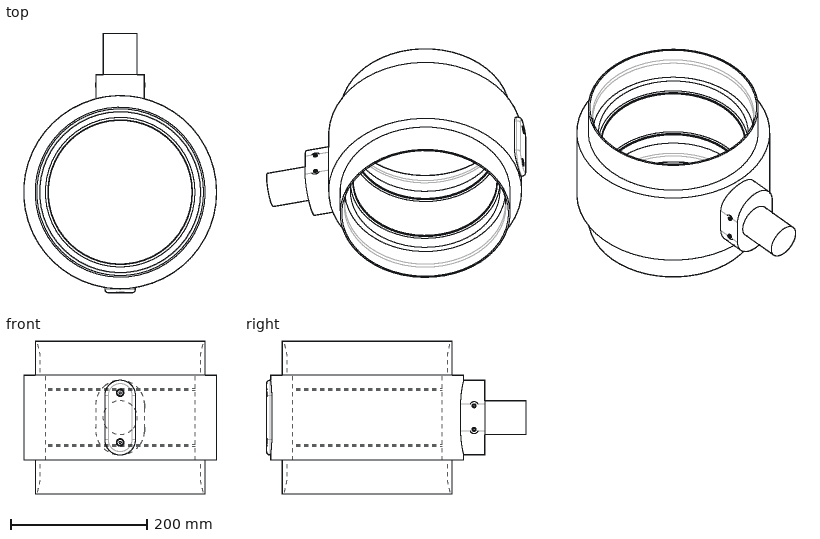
import cadquery as cq
import math

BODY_HEIGHT = 225.06
BAND_HEIGHT = 125.0
TUBE_RADIUS = 125.0
BAND_RADIUS = 142.0

MOUTH_RADIUS = 122.6
SOCKET_RADIUS = 118.2
TAPER_DEPTH = 18.7
BLEND_LENGTH = 3.0
SOCKET_DEPTH = 50.0
BORE_RADIUS = 110.0
LIP_RADIUS = 105.6
LIP_CHAMFER = 0.8
LIP_DEPTH = 70.0
LIP_THICKNESS = 2.7

NECK_WIDTH = 71.2
NECK_HEIGHT = 110.0
NECK_FLAT_HEIGHT = 40.0
NECK_END_Y = 173.0
STEM_RADIUS = 25.0
STEM_END_Y = 233.6

PAD_RADIUS = 6.2
PAD_DEPTH = 6.0
PAD_Y = 157.3
PAD_SPACING = 34.6
PAD_SCREW_RADIUS = 2.9
PAD_SCREW_HEIGHT = 1.0
PAD_SOCKET_RADIUS = 1.6
PAD_SOCKET_DEPTH = 0.8

PLATE_WIDTH = 45.0
PLATE_HEIGHT = 110.0
PLATE_FACE_Y = -148.0
PLATE_FILLET = 5.0
PLATE_SCREW_SPACING = 73.0
PLATE_SCREW_RADIUS = 4.5
PLATE_SCREW_HOLE_RADIUS = 5.5
PLATE_SCREW_GAP_DEPTH = 1.5
PLATE_SOCKET_RADIUS = 1.7
PLATE_SOCKET_DEPTH = 1.5

ROOT_DISTANCE = 130.0


def cylinder(radius, height):
    """Cylinder along Z, centred on the origin."""
    return cq.Workplane("XY").circle(radius).extrude(height / 2, both=True)


def y_workplane(y):
    """Workplane at a given Y, facing -Y, with local x = X and local y = Z."""
    return cq.Workplane("XZ", origin=(0, y, 0))


def make_body():
    return cylinder(TUBE_RADIUS, BODY_HEIGHT).union(cylinder(BAND_RADIUS, BAND_HEIGHT))


def make_bore():
    """Revolve one half of the bore, from the middle plane to the top, and mirror it."""
    top = BODY_HEIGHT / 2
    lip_top = top - LIP_DEPTH
    lip_bottom = lip_top - LIP_THICKNESS
    taper_angle = math.atan((MOUTH_RADIUS - SOCKET_RADIUS) / TAPER_DEPTH)
    taper_foot = top - TAPER_DEPTH
    blend_start = (
        SOCKET_RADIUS + BLEND_LENGTH * math.sin(taper_angle),
        taper_foot + BLEND_LENGTH * math.cos(taper_angle),
    )
    half = (
        cq.Workplane("XZ")
        .lineTo(0, top)
        .lineTo(MOUTH_RADIUS, top)
        .lineTo(*blend_start)
        .tangentArcPoint((SOCKET_RADIUS, taper_foot - BLEND_LENGTH), relative=False)
        .lineTo(SOCKET_RADIUS, top - SOCKET_DEPTH)
        .lineTo(BORE_RADIUS, top - SOCKET_DEPTH)
        .lineTo(BORE_RADIUS, lip_top)
        .lineTo(LIP_RADIUS + LIP_CHAMFER, lip_top)
        .lineTo(LIP_RADIUS, lip_top - LIP_CHAMFER)
        .lineTo(LIP_RADIUS, lip_bottom + LIP_CHAMFER)
        .lineTo(LIP_RADIUS + LIP_CHAMFER, lip_bottom)
        .lineTo(BORE_RADIUS, lip_bottom)
        .lineTo(BORE_RADIUS, 0)
        .close()
        .revolve(360, (0, 0, 0), (0, 1, 0))
    )
    return half.union(half.mirror("XY"))


def make_neck():
    """Housing bounded by two flat sides joined by shallow end arcs, plus the stem."""
    half_width = NECK_WIDTH / 2
    half_flat = NECK_FLAT_HEIGHT / 2
    half_height = NECK_HEIGHT / 2
    housing = (
        y_workplane(NECK_END_Y)
        .moveTo(-half_width, -half_flat)
        .lineTo(-half_width, half_flat)
        .threePointArc((0, half_height), (half_width, half_flat))
        .lineTo(half_width, -half_flat)
        .threePointArc((0, -half_height), (-half_width, -half_flat))
        .close()
        .extrude(NECK_END_Y - ROOT_DISTANCE)
    )
    stem = y_workplane(STEM_END_Y).circle(STEM_RADIUS).extrude(STEM_END_Y - ROOT_DISTANCE)
    return housing.union(stem)


def pad_plane(side, x):
    """Outward-facing plane at distance x from the middle, with both screw centres selected."""
    plane = cq.Plane(origin=(side * x, PAD_Y, 0), xDir=(0, side, 0), normal=(side, 0, 0))
    return cq.Workplane(plane).pushPoints([(0, -PAD_SPACING / 2), (0, PAD_SPACING / 2)])


def add_neck_screws(part):
    """Add the pads and the hexagon-socket screw heads on both sides of the neck."""
    face_x = NECK_WIDTH / 2
    head_x = face_x + PAD_SCREW_HEIGHT
    for side in (-1, 1):
        pads = pad_plane(side, face_x).circle(PAD_RADIUS).extrude(-PAD_DEPTH)
        heads = pad_plane(side, face_x).circle(PAD_SCREW_RADIUS).extrude(PAD_SCREW_HEIGHT)
        sockets = pad_plane(side, head_x).polygon(6, 2 * PAD_SOCKET_RADIUS).extrude(-PAD_SOCKET_DEPTH)
        part = part.union(pads).union(heads).cut(sockets)
    return part


def make_plate():
    """Rounded-end cover plate with two flush screws, each in an annular gap."""
    plate_depth = -PLATE_FACE_Y - ROOT_DISTANCE
    plate = (
        y_workplane(PLATE_FACE_Y)
        .slot2D(PLATE_HEIGHT, PLATE_WIDTH, 90)
        .extrude(-plate_depth)
        .faces("<Y")
        .edges()
        .fillet(PLATE_FILLET)
    )
    centres = [(0, -PLATE_SCREW_SPACING / 2), (0, PLATE_SCREW_SPACING / 2)]
    screws = y_workplane(PLATE_FACE_Y).pushPoints(centres)
    gaps = (
        screws.circle(PLATE_SCREW_HOLE_RADIUS)
        .extrude(-PLATE_SCREW_GAP_DEPTH)
        .cut(screws.circle(PLATE_SCREW_RADIUS).extrude(-PLATE_SCREW_GAP_DEPTH))
    )
    sockets = screws.polygon(6, 2 * PLATE_SOCKET_RADIUS).extrude(-PLATE_SOCKET_DEPTH)
    return plate.cut(gaps).cut(sockets)


body = make_body().union(make_neck())
body = add_neck_screws(body).union(make_plate())
result = body.cut(make_bore())